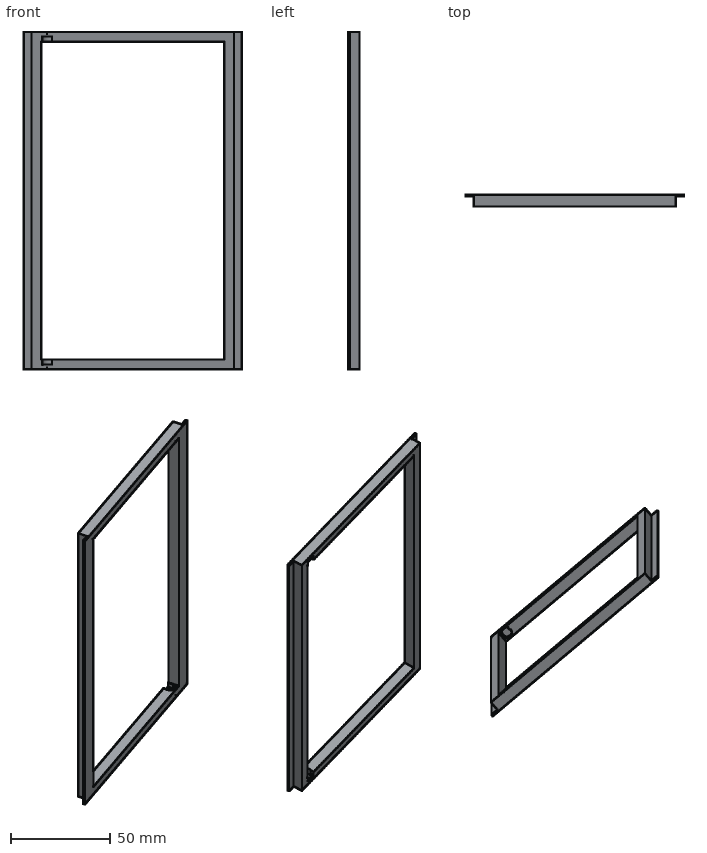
import cadquery as cq

WIDTH = 110.0
DEPTH = 6.0
HEIGHT = 170.0

FLANGE_WIDTH = 4.0
FLANGE_THICKNESS = 1.0
STILE_WIDTH = 5.0
RAIL_HEIGHT = 5.0

SOCKET_DIAMETER = 5.0
SOCKET_DEPTH = 4.0
SOCKET_FROM_STILE = 3.0

SLOT_WIDTH = 4.8
SLOT_DEPTH = 2.6
SLOT_OFFSET = 0.2

body_width = WIDTH - 2 * FLANGE_WIDTH
opening_width = body_width - 2 * STILE_WIDTH
opening_height = HEIGHT - 2 * RAIL_HEIGHT
flange_front = DEPTH - FLANGE_THICKNESS

socket_x = -opening_width / 2 + SOCKET_FROM_STILE
socket_y = DEPTH / 2


def slab(x_center, width, y_front, depth, height):
    """Block centred on z = 0 that runs back from y_front."""
    block = cq.Workplane("XY").box(width, depth, height)
    return block.translate((x_center, y_front + depth / 2, 0))


def make_frame():
    """Rectangular frame with a thin flange along each side of the back."""
    body = slab(0, body_width, 0, DEPTH, HEIGHT)
    flange = slab(0, WIDTH, flange_front, FLANGE_THICKNESS, HEIGHT)
    opening = slab(0, opening_width, 0, DEPTH, opening_height)
    return body.union(flange).cut(opening)


def make_pin_sockets():
    """One vertical cylinder that spans the opening and sinks into both rails."""
    half_length = opening_height / 2 + SOCKET_DEPTH
    return (
        cq.Workplane("XY")
        .center(socket_x, socket_y)
        .circle(SOCKET_DIAMETER / 2)
        .extrude(half_length, both=True)
    )


def make_entry_slots():
    """One block that spans the opening and cuts a shallower slot into both rails."""
    height = opening_height + 2 * SLOT_DEPTH
    return slab(socket_x - SLOT_OFFSET, SLOT_WIDTH, 0, socket_y, height)


result = make_frame().cut(make_pin_sockets()).cut(make_entry_slots())